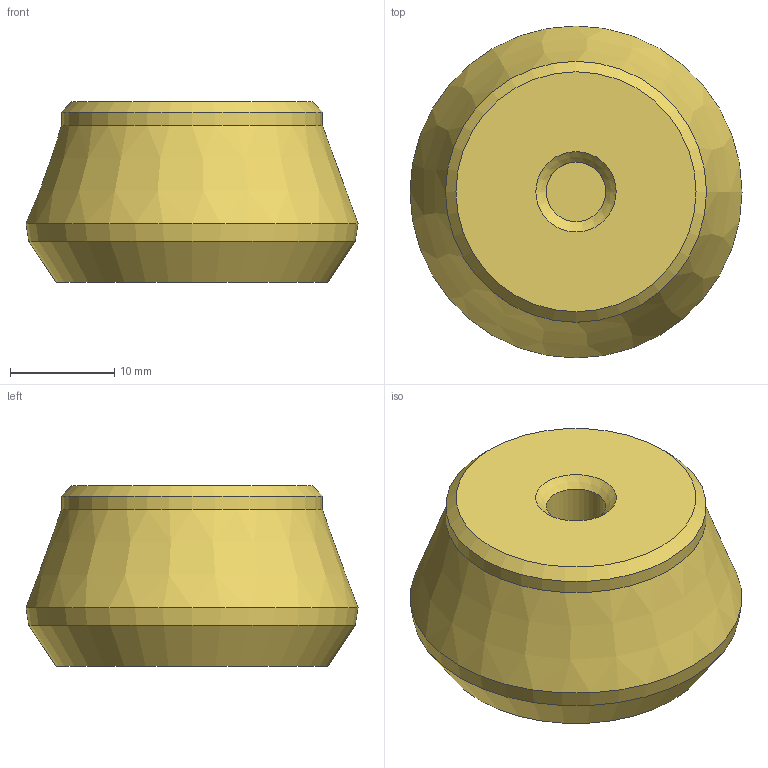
import cadquery as cq

height = 17.3
base_radius = 13.0
belly_lower_radius = 15.65
belly_upper_radius = 15.905
neck_radius = 12.5
top_chamfer = 1.0

belly_lower_z = 3.95
belly_upper_z = 5.6
neck_bottom_z = 15.0
neck_top_z = height - top_chamfer

hole_diameter = 5.7
hole_depth = 12.0
mouth_chamfer = 1.0


def make_body():
    """Solid of revolution: base cone, belly, flank, neck and chamfer."""
    return (
        cq.Workplane("XZ")
        .moveTo(0, 0)
        .lineTo(base_radius, 0)
        .lineTo(belly_lower_radius, belly_lower_z)
        .lineTo(belly_upper_radius, belly_upper_z)
        .lineTo(neck_radius, neck_bottom_z)
        .lineTo(neck_radius, neck_top_z)
        .lineTo(neck_radius - top_chamfer, height)
        .lineTo(0, height)
        .close()
        .revolve(360, (0, 0, 0), (0, 1, 0))
    )


def make_hole():
    """Cutter for the blind hole, flaring out through the chamfered mouth."""
    hole_radius = hole_diameter / 2
    return (
        cq.Workplane("XZ")
        .moveTo(0, height - hole_depth)
        .lineTo(hole_radius, height - hole_depth)
        .lineTo(hole_radius, height - mouth_chamfer)
        .lineTo(hole_radius + mouth_chamfer, height)
        .lineTo(0, height)
        .close()
        .revolve(360, (0, 0, 0), (0, 1, 0))
    )


result = make_body().cut(make_hole())